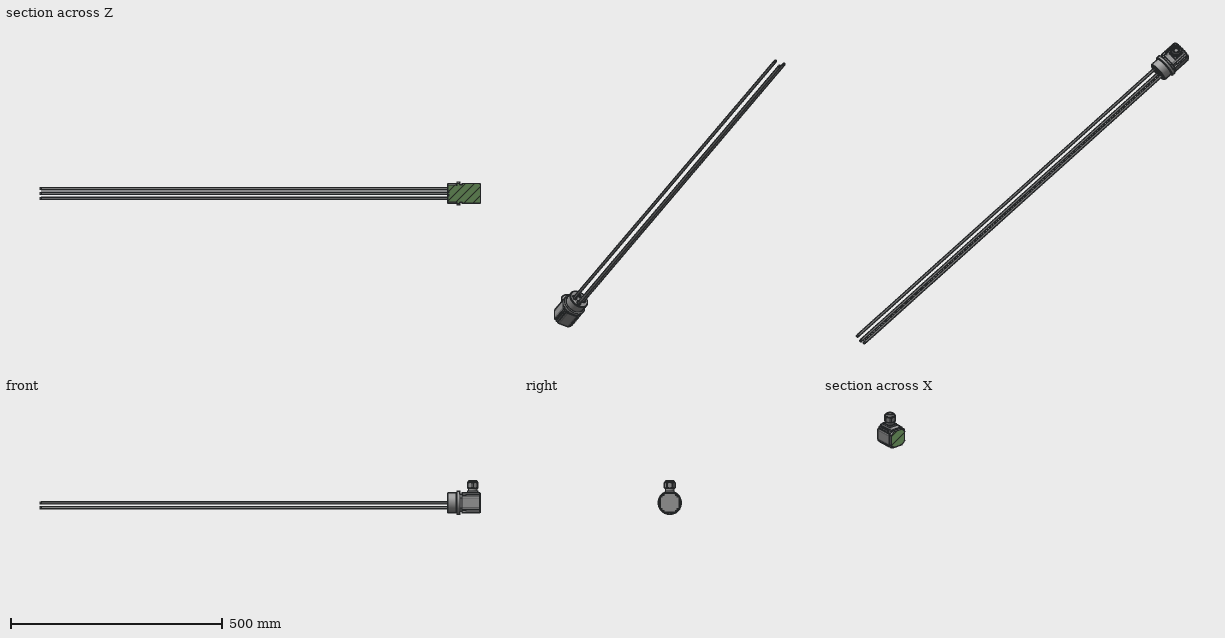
import cadquery as cq
import math

total_length = 1044.0

overlap = 5.0

rod_diameter = 6.0
rod_tip_diameter = 5.0
rod_tip_length = 4.0
rod_circle_radius = 11.0
rod_directions = (0, 180, 270)

socket_diameter = 11.0
socket_depth = 3.0
spare_direction = 90

housing_diameter = 48.0
housing_length = 22.0
housing_chamfer = 1.6
flange_diameter = 55.0
flange_length = 7.0
neck_flats = 42.0
neck_length = 15.0

box_width = 48.0
plate_length = 44.0
plate_gap = 5.0
plate_face_width = 23.0
plate_base_width = 31.0
plate_bevel = 1.0
corner_step_width = 40.0
rear_chamfer = 2.0

gland_offset = 19.0
foot_length = 25.0
foot_width = 21.0
foot_height = 4.0
collar_diameter = 21.0
nut_base = 34.0
nut_top = 49.0
nut_flats = 25.0
nut_round_diameter = 27.0
nut_corner_bevel = 2.0
cap_diameter = 23.0
cap_chamfer = 3.0
gland_top = 53.0
cable_hole_diameter = 11.0
cable_hole_depth = 10.0

plate_start = total_length - plate_length
flange_end = plate_start - plate_gap
flange_start = flange_end - flange_length
housing_start = flange_start - housing_length
corner_start = flange_end + neck_length
gland_x = total_length - gland_offset


def cylinder_along_x(diameter, start, end):
    return cq.Workplane("YZ", origin=(start, 0, 0)).circle(diameter / 2).extrude(end - start)


def place_on_rod_circle(body, direction):
    angle = math.radians(direction)
    return body.translate((0, rod_circle_radius * math.cos(angle), rod_circle_radius * math.sin(angle)))


def make_housing():
    housing = cylinder_along_x(housing_diameter, housing_start, flange_start).edges().chamfer(housing_chamfer)
    flange = cylinder_along_x(flange_diameter, flange_start, flange_end)
    socket = cylinder_along_x(socket_diameter, housing_start, housing_start + socket_depth)
    for direction in (*rod_directions, spare_direction):
        housing = housing.cut(place_on_rod_circle(socket, direction))
    return housing.union(flange)


def make_rods():
    shaft = cylinder_along_x(rod_diameter, rod_tip_length, housing_start + overlap)
    rod = shaft.union(cylinder_along_x(rod_tip_diameter, 0, rod_tip_length))
    stub = cylinder_along_x(rod_diameter, housing_start, housing_start + overlap)
    rods = place_on_rod_circle(stub, spare_direction)
    for direction in rod_directions:
        rods = rods.union(place_on_rod_circle(rod, direction))
    return rods


def make_neck():
    neck = cylinder_along_x(housing_diameter, flange_end - overlap / 2, corner_start + overlap)
    flats_length = corner_start + overlap - flange_start
    square = cq.Workplane("YZ", origin=(flange_start, 0, 0)).rect(neck_flats, neck_flats).extrude(flats_length)
    return neck.intersect(square)


def make_plate_pair():
    half_face = plate_face_width / 2
    half_base = plate_base_width / 2
    outer = box_width / 2
    shoulder = outer - plate_bevel
    outline = [
        (half_face, outer),
        (half_base, shoulder),
        (half_base, -shoulder),
        (half_face, -outer),
        (-half_face, -outer),
        (-half_base, -shoulder),
        (-half_base, shoulder),
        (-half_face, outer),
    ]
    pair = cq.Workplane("YZ", origin=(plate_start, 0, 0)).polyline(outline).close().extrude(plate_length)
    return pair.faces(">X").chamfer(rear_chamfer)


def make_connector_box():
    upright_pair = make_plate_pair()
    side_pair = upright_pair.rotate((0, 0, 0), (1, 0, 0), 90)
    core = (
        cq.Workplane("YZ", origin=(corner_start, 0, 0))
        .rect(corner_step_width, corner_step_width)
        .extrude(total_length - corner_start)
        .faces(">X")
        .chamfer(rear_chamfer)
    )
    return upright_pair.union(side_pair).union(core)


def disc(diameter, bottom, top):
    return cq.Workplane("XY", origin=(0, 0, bottom)).circle(diameter / 2).extrude(top - bottom)


def make_gland():
    box_top = box_width / 2
    foot = (
        cq.Workplane("XY", origin=(0, 0, box_top - overlap))
        .rect(foot_length, foot_width)
        .extrude(overlap + foot_height)
    )
    collar = disc(collar_diameter, box_top, nut_base)
    nut = (
        cq.Workplane("XY", origin=(0, 0, nut_base))
        .polygon(6, nut_flats, circumscribed=True)
        .extrude(nut_top - nut_base)
    )
    nut = nut.intersect(disc(nut_round_diameter, nut_base, nut_top).edges().chamfer(nut_corner_bevel))
    cap = disc(cap_diameter, nut_top, gland_top).faces(">Z").chamfer(cap_chamfer)
    hole = disc(cable_hole_diameter, gland_top - cable_hole_depth, gland_top)
    return foot.union(collar).union(nut).union(cap).cut(hole).translate((gland_x, 0, 0))


result = (
    make_housing()
    .union(make_rods())
    .union(make_neck())
    .union(make_connector_box())
    .union(make_gland())
)